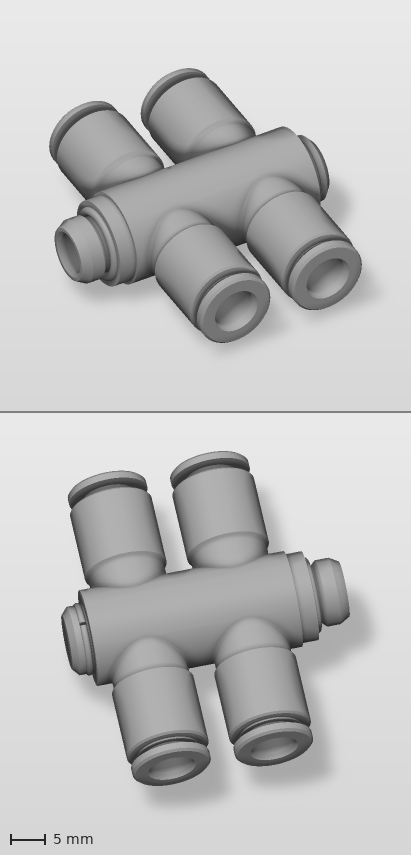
import cadquery as cq
import math

BODY_RADIUS = 7.0
BODY_LENGTH = 30.0
BODY_END = BODY_LENGTH / 2

PORT_PITCH = 15.0
PORT_REACH = 22.7
ARM_RADIUS = 5.55
SADDLE_FILLET = 0.5

SLEEVE_RADIUS = 6.0
SLEEVE_START = 8.93
SLEEVE_ROOT_FILLET = 0.7
SLEEVE_CHAMFER = 0.3
SLEEVE_FACE = 19.9
STEP_RADIUS = 4.55
STEP_HEIGHT = 0.25

COLLET_NECK_RADIUS = 3.7
COLLET_FLANGE_RADIUS = 5.75
COLLET_FLANGE_THICKNESS = 1.3
COLLET_CHAMFER = 0.35

TUBE_BORE_RADIUS = 3.2
TUBE_BORE_DEPTH = 14.0
TUBE_MOUTH_CHAMFER = 0.3
TUBE_MOUTH_LENGTH = 0.75
PASSAGE_RADIUS = 2.5
DRILL_HALF_ANGLE = math.radians(59)

STEM_LENGTH = 7.5
COLLAR_RADIUS = 6.5
COLLAR_LENGTH = 2.5
SEAL_TUBE_RADIUS = 0.7
SEAL_CENTRE_RADIUS = 4.9
STEM_GROOVE_RADIUS = 4.25
STEM_GROOVE_END = 3.5
STEM_BEAD_START = 4.15
STEM_BEAD_END = 6.1
STEM_BEAD_RADIUS = 4.85
STEM_TIP_RADIUS = 4.05

MAIN_BORE_RADIUS = 3.0
MAIN_BORE_MOUTH_CHAMFER = 0.5
MAIN_BORE_END = 10.5

PLUG_LENGTH = 3.1
PLUG_RADIUS = 5.0
PLUG_CHAMFER_WIDTH = 1.0
PLUG_CHAMFER_LENGTH = 0.9
RING_RADIUS = 5.3
RING_TUBE_RADIUS = 0.5
RING_CENTRE = 0.75
RING_GAP = 0.5


def drill_cone_length(large_radius, small_radius=0.0):
    """Axial length of a drill-point cone between two radii."""
    return (large_radius - small_radius) / math.tan(DRILL_HALF_ANGLE)


def turned_along_y(profile):
    """Revolve a closed (radius, y) profile about the Y axis."""
    return profile.close().revolve(360, (0, 0, 0), (0, 1, 0))


def turned_along_x(profile):
    """Revolve a closed (x, radius) profile about the X axis."""
    return profile.close().revolve(360, (0, 0, 0), (1, 0, 0))


def at_ports(make_port):
    """Combine one copy of a +X port shape, made at Y = 0, for each of the four ports."""
    shapes = cq.Workplane("XY")
    for y in (-PORT_PITCH / 2, PORT_PITCH / 2):
        for turn in (0, 180):
            port = make_port().rotate((0, 0, 0), (0, 0, 1), turn)
            shapes = shapes.union(port.translate((0, y, 0)))
    return shapes


def make_arm():
    return cq.Workplane("YZ").circle(ARM_RADIUS).extrude(SLEEVE_START)


def make_body_with_arms():
    body = cq.Workplane("XZ", origin=(0, BODY_END, 0)).circle(BODY_RADIUS).extrude(BODY_LENGTH)
    core = body.union(at_ports(make_arm))
    saddle_y = PORT_PITCH / 2 + ARM_RADIUS
    saddle_zone = cq.selectors.BoxSelector(
        (-BODY_RADIUS, -saddle_y, -BODY_RADIUS),
        (BODY_RADIUS, saddle_y, BODY_RADIUS),
    )
    return core.edges(saddle_zone).edges("not (|X or |Y)").fillet(SADDLE_FILLET)


def make_port_shell():
    """Sleeve and release collet of one port, solid."""
    half_angle = math.radians(45) / 2
    tangent = SLEEVE_ROOT_FILLET * math.tan(half_angle)
    root_start = SLEEVE_START - tangent
    root_centre_radius = ARM_RADIUS + SLEEVE_ROOT_FILLET

    def root_point(angle):
        return (
            root_start + SLEEVE_ROOT_FILLET * math.sin(angle),
            root_centre_radius - SLEEVE_ROOT_FILLET * math.cos(angle),
        )

    sleeve_edge = SLEEVE_START + SLEEVE_RADIUS - ARM_RADIUS
    step_face = SLEEVE_FACE + STEP_HEIGHT
    flange_back = PORT_REACH - COLLET_FLANGE_THICKNESS
    profile = (
        cq.Workplane("XY")
        .moveTo(root_start, 0)
        .lineTo(root_start, ARM_RADIUS)
        .threePointArc(root_point(half_angle), root_point(2 * half_angle))
        .lineTo(sleeve_edge, SLEEVE_RADIUS)
        .lineTo(SLEEVE_FACE - SLEEVE_CHAMFER, SLEEVE_RADIUS)
        .lineTo(SLEEVE_FACE, SLEEVE_RADIUS - SLEEVE_CHAMFER)
        .lineTo(SLEEVE_FACE, STEP_RADIUS)
        .lineTo(step_face, STEP_RADIUS)
        .lineTo(step_face, COLLET_NECK_RADIUS)
        .lineTo(flange_back, COLLET_NECK_RADIUS)
        .lineTo(flange_back, COLLET_FLANGE_RADIUS)
        .lineTo(PORT_REACH - COLLET_CHAMFER, COLLET_FLANGE_RADIUS)
        .lineTo(PORT_REACH, COLLET_FLANGE_RADIUS - COLLET_CHAMFER)
        .lineTo(PORT_REACH, 0)
    )
    return turned_along_x(profile)


def make_port_bore():
    """Tube socket of one port and the passage from it to the body axis."""
    shoulder = PORT_REACH - TUBE_BORE_DEPTH
    profile = (
        cq.Workplane("XY")
        .moveTo(0, 0)
        .lineTo(0, PASSAGE_RADIUS)
        .lineTo(shoulder - drill_cone_length(TUBE_BORE_RADIUS, PASSAGE_RADIUS), PASSAGE_RADIUS)
        .lineTo(shoulder, TUBE_BORE_RADIUS)
        .lineTo(PORT_REACH - TUBE_MOUTH_LENGTH, TUBE_BORE_RADIUS)
        .lineTo(PORT_REACH, TUBE_BORE_RADIUS + TUBE_MOUTH_CHAMFER)
        .lineTo(PORT_REACH, 0)
    )
    return turned_along_x(profile)


def make_stem():
    """Collar, O-ring, and grooved stem at the -Y end, solid."""
    collar_face = -BODY_END - COLLAR_LENGTH
    seal_inset = SEAL_CENTRE_RADIUS - STEM_GROOVE_RADIUS
    seal_contact_depth = math.sqrt(SEAL_TUBE_RADIUS**2 - seal_inset**2)
    profile = (
        cq.Workplane("XY")
        .moveTo(0, -BODY_END)
        .lineTo(COLLAR_RADIUS, -BODY_END)
        .lineTo(COLLAR_RADIUS, collar_face)
        .lineTo(SEAL_CENTRE_RADIUS + SEAL_TUBE_RADIUS, collar_face)
        .threePointArc(
            (SEAL_CENTRE_RADIUS, collar_face - SEAL_TUBE_RADIUS),
            (STEM_GROOVE_RADIUS, collar_face - seal_contact_depth),
        )
        .lineTo(STEM_GROOVE_RADIUS, -BODY_END - STEM_GROOVE_END)
        .lineTo(STEM_BEAD_RADIUS, -BODY_END - STEM_BEAD_START)
        .lineTo(STEM_BEAD_RADIUS, -BODY_END - STEM_BEAD_END)
        .lineTo(STEM_TIP_RADIUS, -BODY_END - STEM_LENGTH)
        .lineTo(0, -BODY_END - STEM_LENGTH)
    )
    return turned_along_y(profile)


def make_main_bore():
    mouth = -BODY_END - STEM_LENGTH
    profile = (
        cq.Workplane("XY")
        .moveTo(0, mouth)
        .lineTo(MAIN_BORE_RADIUS + MAIN_BORE_MOUTH_CHAMFER, mouth)
        .lineTo(MAIN_BORE_RADIUS, mouth + MAIN_BORE_MOUTH_CHAMFER)
        .lineTo(MAIN_BORE_RADIUS, MAIN_BORE_END)
        .lineTo(0, MAIN_BORE_END + drill_cone_length(MAIN_BORE_RADIUS))
    )
    return turned_along_y(profile)


def make_plug():
    """Chamfered plug at the +Y end, carrying a snap ring split at the top."""
    plug_end = BODY_END + PLUG_LENGTH
    ring_y = BODY_END + RING_CENTRE
    ring_low = ring_y - RING_TUBE_RADIUS
    ring_high = ring_y + RING_TUBE_RADIUS
    groove_radius = RING_RADIUS - 2 * RING_TUBE_RADIUS
    ring_centre_radius = RING_RADIUS - RING_TUBE_RADIUS
    plug = turned_along_y(
        cq.Workplane("XY")
        .moveTo(0, BODY_END)
        .lineTo(PLUG_RADIUS, BODY_END)
        .lineTo(PLUG_RADIUS, ring_low)
        .lineTo(groove_radius, ring_low)
        .lineTo(groove_radius, ring_high)
        .lineTo(PLUG_RADIUS, ring_high)
        .lineTo(PLUG_RADIUS, plug_end - PLUG_CHAMFER_LENGTH)
        .lineTo(PLUG_RADIUS - PLUG_CHAMFER_WIDTH, plug_end)
        .lineTo(0, plug_end)
    )
    ring = turned_along_y(
        cq.Workplane("XY")
        .moveTo(groove_radius, ring_low)
        .lineTo(ring_centre_radius, ring_low)
        .threePointArc((RING_RADIUS, ring_y), (ring_centre_radius, ring_high))
        .lineTo(groove_radius, ring_high)
    )
    gap = cq.Workplane("XY").rect(RING_GAP, 2 * RING_TUBE_RADIUS).extrude(RING_RADIUS)
    return plug.union(ring.cut(gap.translate((0, ring_y, 0))))


solid_part = make_body_with_arms().union(at_ports(make_port_shell)).union(make_stem()).union(make_plug())
result = solid_part.cut(at_ports(make_port_bore)).cut(make_main_bore())